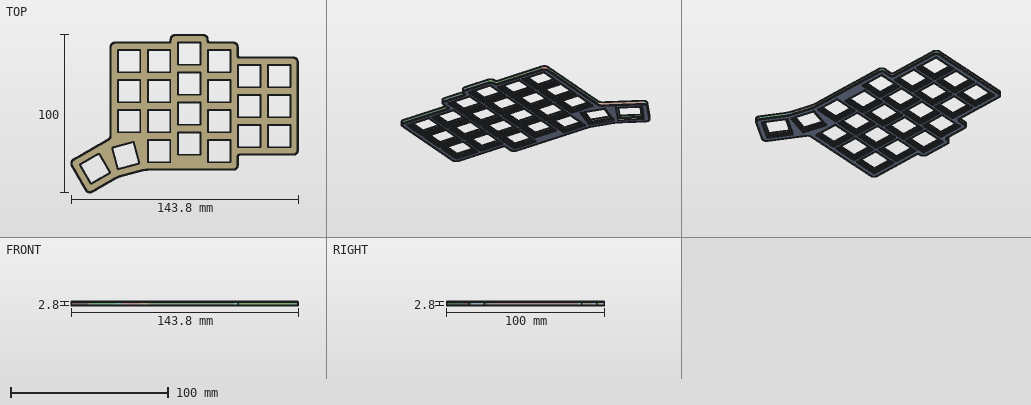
import cadquery as cq
import math

THICKNESS = 2.8
EDGE_CHAMFER = 0.35

CUTOUT = 14.0
CUTOUT_DEPTH = 1.55
RECESS = 16.6

PITCH = 19.025
STAGGER = PITCH / 4
MARGIN = 4.9
REACH = CUTOUT / 2 + MARGIN

COLUMNS = [
    (1, 3, 0),
    (0, 4, 0),
    (0, 4, STAGGER),
    (0, 4, 0),
    (1, 3, -2 * STAGGER),
    (1, 3, -2 * STAGGER),
]

INNER_THUMB = (-2.2, -2.8)
INNER_THUMB_ANGLE = 15
OUTER_THUMB = (-21.66, -11.09)
OUTER_THUMB_ANGLE = 30

CORNER_RADIUS = 3.0
STEP_RADIUS = 1.0
BEND_RADIUS = 20.0


def key_point(centre, angle, x, y):
    """Place a point given in the frame of a rotated key."""
    c = math.cos(math.radians(angle))
    s = math.sin(math.radians(angle))
    return (centre[0] + x * c - y * s, centre[1] + x * s + y * c)


def line_at_x(point, angle, x):
    """Point with the given X on the line through a point at an angle."""
    return (x, point[1] + (x - point[0]) * math.tan(math.radians(angle)))


def line_at_y(point, angle, y):
    """Point with the given Y on the line through a point at an angle."""
    return (point[0] + (y - point[1]) / math.tan(math.radians(angle)), y)


def line_crossing(point_a, angle_a, point_b, angle_b):
    """Crossing of two sloping lines, each given by a point and an angle."""
    slope_a = math.tan(math.radians(angle_a))
    slope_b = math.tan(math.radians(angle_b))
    x = (point_b[1] - point_a[1] + slope_a * point_a[0] - slope_b * point_b[0]) / (slope_a - slope_b)
    return line_at_x(point_a, angle_a, x)


def outline_corners():
    """Corners of the plate as (point, radius), clockwise from the upper left one."""
    left = -REACH
    raised_left = 2 * PITCH - REACH
    raised_right = 2 * PITCH + REACH
    middle_right = 3 * PITCH + REACH
    right = 5 * PITCH + REACH
    top = 3 * PITCH + REACH
    bottom = -REACH
    wing_top = top - 2 * STAGGER
    wing_bottom = PITCH - 2 * STAGGER - REACH

    thumb_upper_left = key_point(OUTER_THUMB, OUTER_THUMB_ANGLE, -REACH, REACH)
    thumb_lower_left = key_point(OUTER_THUMB, OUTER_THUMB_ANGLE, -REACH, -REACH)
    inner_thumb_bottom = key_point(INNER_THUMB, INNER_THUMB_ANGLE, 0, -REACH)
    inner_bend = line_at_y(inner_thumb_bottom, INNER_THUMB_ANGLE, bottom)
    outer_bend = line_crossing(
        inner_thumb_bottom, INNER_THUMB_ANGLE, thumb_lower_left, OUTER_THUMB_ANGLE
    )
    thumb_root = line_at_x(thumb_upper_left, OUTER_THUMB_ANGLE, left)

    return [
        ((left, top), CORNER_RADIUS),
        ((raised_left, top), STEP_RADIUS),
        ((raised_left, top + STAGGER), CORNER_RADIUS),
        ((raised_right, top + STAGGER), CORNER_RADIUS),
        ((raised_right, top), STEP_RADIUS),
        ((middle_right, top), CORNER_RADIUS),
        ((middle_right, wing_top), STEP_RADIUS),
        ((right, wing_top), CORNER_RADIUS),
        ((right, wing_bottom), CORNER_RADIUS),
        ((middle_right, wing_bottom), STEP_RADIUS),
        ((middle_right, bottom), CORNER_RADIUS),
        (inner_bend, BEND_RADIUS),
        (outer_bend, BEND_RADIUS),
        (thumb_lower_left, CORNER_RADIUS),
        (thumb_upper_left, CORNER_RADIUS),
        (thumb_root, CORNER_RADIUS),
    ]


def corner_arc(before, corner, after, radius):
    """Start, middle and end of the arc that rounds a corner."""
    point = cq.Vector(*corner)
    toward_before = (cq.Vector(*before) - point).normalized()
    toward_after = (cq.Vector(*after) - point).normalized()
    half_angle = toward_before.getAngle(toward_after) / 2
    tangent_length = radius / math.tan(half_angle)
    bisector = (toward_before + toward_after).normalized()
    middle = point + bisector * (radius / math.sin(half_angle) - radius)
    start = point + toward_before * tangent_length
    end = point + toward_after * tangent_length
    return start.toTuple()[:2], middle.toTuple()[:2], end.toTuple()[:2]


def rounded_outline(corners):
    """Closed wire through the corners, each rounded by its own radius."""
    path = None
    for i, (corner, radius) in enumerate(corners):
        before = corners[i - 1][0]
        after = corners[(i + 1) % len(corners)][0]
        start, middle, end = corner_arc(before, corner, after, radius)
        path = path.lineTo(*start) if path else cq.Workplane("XY").moveTo(*start)
        path = path.threePointArc(middle, end)
    return path.close()


def make_plate():
    """Solid plate with its whole rim chamfered on both faces."""
    plate = rounded_outline(outline_corners()).extrude(THICKNESS)
    return plate.faces("<Z or >Z").edges().chamfer(EDGE_CHAMFER)


def key_cutout(centre, angle=0):
    """Through cutter for one key: a square opening with a wider square recess below it."""
    opening = cq.Workplane("XY").rect(CUTOUT, CUTOUT).extrude(THICKNESS)
    recess = cq.Workplane("XY").rect(RECESS, RECESS).extrude(THICKNESS - CUTOUT_DEPTH)
    cutter = opening.union(recess)
    return cutter.rotate((0, 0, 0), (0, 0, 1), angle).translate((*centre, 0))


def cut_keys(plate):
    """Cut the square openings of the grid and of the two thumb keys."""
    for column, (first_row, row_count, shift) in enumerate(COLUMNS):
        for row in range(first_row, first_row + row_count):
            plate = plate.cut(key_cutout((column * PITCH, row * PITCH + shift)))
    plate = plate.cut(key_cutout(INNER_THUMB, INNER_THUMB_ANGLE))
    return plate.cut(key_cutout(OUTER_THUMB, OUTER_THUMB_ANGLE))


result = cut_keys(make_plate())